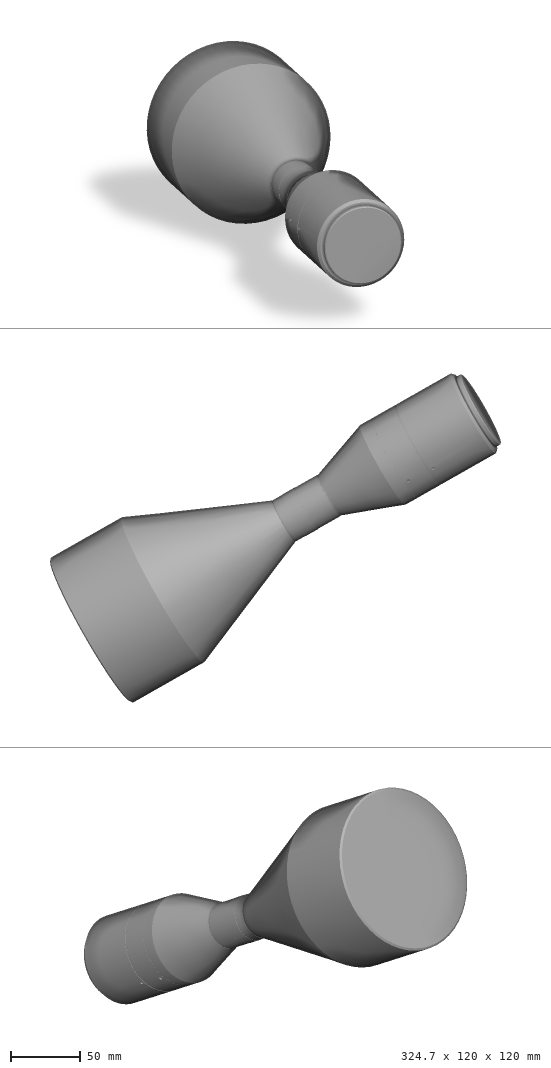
import cadquery as cq
import math

FULL_TURN = 360.0

front_barrel_end = 60.0
front_cone_end = 160.5
neck_ring_start = 169.2
neck_ring_end = 179.0
rear_cone_start = 199.0
rear_barrel_start = 243.0
ring_joint = 252.6
rear_joint = 272.2
rear_barrel_end = 320.2
total_length = 324.7

front_radius = 60.0
neck_radius = 17.0
neck_ring_height = 0.2
neck_ring_radius = neck_radius + neck_ring_height
rear_radius = 33.0
mount_radius = 29.0
mount_root_radius = 28.5

front_chamfer_length = 1.0
front_chamfer_depth = 1.5
rear_chamfer = 2.0
mount_root_taper_length = 1.0
mount_rim_chamfer = 0.7

joint_groove_depth = 0.3
joint_groove_width = 1.0
hairline_groove_width = 0.1

screws_per_row = 3
screw_hole_depth = 3.0
ring_screw_position = 256.1
ring_screw_diameter = 2.5
ring_screw_angle = 55.0
rear_screw_position = 276.0
rear_screw_diameter = 2.2
rear_screw_angle = 57.0


def revolve_profile(points):
    """Revolve an (x, radius) outline about the X axis."""
    return cq.Workplane("XZ").polyline(points).close().revolve(FULL_TURN, (0, 0, 0), (1, 0, 0))


def make_body():
    """Turned outline: front barrel, cone, neck with a raised ring, cone and rear barrel."""
    return revolve_profile([
        (0, 0),
        (0, front_radius - front_chamfer_depth),
        (front_chamfer_length, front_radius),
        (front_barrel_end, front_radius),
        (front_cone_end, neck_radius),
        (neck_ring_start, neck_radius),
        (neck_ring_start, neck_ring_radius),
        (neck_ring_end, neck_ring_radius),
        (neck_ring_end, neck_radius),
        (rear_cone_start, neck_radius),
        (rear_barrel_start, rear_radius),
        (rear_barrel_end - rear_chamfer, rear_radius),
        (rear_barrel_end, rear_radius - rear_chamfer),
        (rear_barrel_end, 0),
    ])


def make_mount():
    """Rear mount: a short collar with a tapered root and a chamfered rim."""
    return revolve_profile([
        (rear_barrel_end, 0),
        (rear_barrel_end, mount_root_radius),
        (rear_barrel_end + mount_root_taper_length, mount_radius),
        (total_length - mount_rim_chamfer, mount_radius),
        (total_length, mount_radius - mount_rim_chamfer),
        (total_length, 0),
    ])


def make_groove(start, width, radius):
    """Ring-shaped cutter that sinks a joint groove into a cylinder of the given radius."""
    return (
        cq.Workplane("YZ", origin=(start, 0, 0))
        .circle(radius + joint_groove_depth)
        .circle(radius - joint_groove_depth)
        .extrude(width)
    )


def make_screw_hole(position, diameter, angle_degrees):
    """Radial cutter for one blind hole in the rear barrel."""
    angle = math.radians(angle_degrees)
    outward = cq.Vector(0, math.cos(angle), math.sin(angle))
    bottom = cq.Vector(position, 0, 0) + outward * (rear_radius - screw_hole_depth)
    cutter_length = 2 * screw_hole_depth
    return cq.Workplane(cq.Solid.makeCylinder(diameter / 2, cutter_length, bottom, outward))


grooves = [
    (front_cone_end, joint_groove_width, neck_radius),
    (rear_cone_start - joint_groove_width, joint_groove_width, neck_radius),
    (ring_joint, hairline_groove_width, rear_radius),
    (rear_joint, joint_groove_width, rear_radius),
]
screw_rows = [
    (ring_screw_position, ring_screw_diameter, ring_screw_angle),
    (rear_screw_position, rear_screw_diameter, rear_screw_angle),
]

result = make_body().union(make_mount())

for start, width, radius in grooves:
    result = result.cut(make_groove(start, width, radius))

for position, diameter, first_angle in screw_rows:
    for index in range(screws_per_row):
        hole_angle = first_angle + index * FULL_TURN / screws_per_row
        result = result.cut(make_screw_hole(position, diameter, hole_angle))